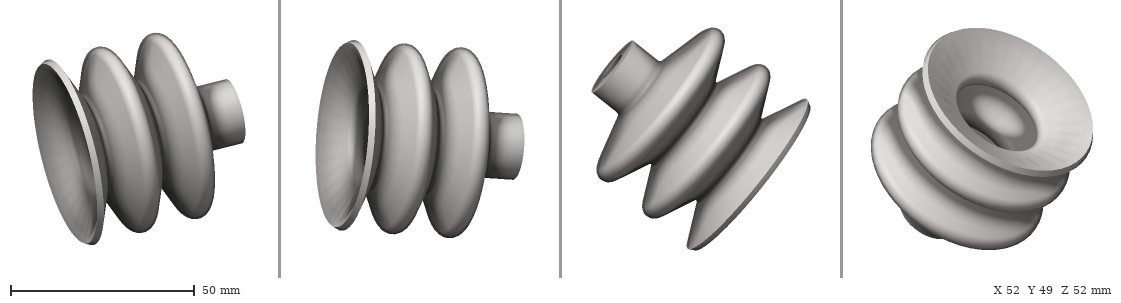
import cadquery as cq
import math


outer_radius = 26.0
length = 49.0

half_pitch = 8.0
fold_count = 2
groove_floor_radius = 14.25
bulge_round = 2.6
groove_round = 0.9
wall = 1.8

neck_radius = 9.0
neck_fillet = 1.6
shoulder_angle = math.radians(17.0)

bore_radius = 4.0
cavity_floor_radius = 7.5

bulge_center_r = outer_radius - bulge_round
groove_center_r = groove_floor_radius + groove_round

center_rise = bulge_center_r - groove_center_r
center_distance = math.hypot(center_rise, half_pitch)
flank_angle = math.atan2(half_pitch, center_rise) - math.asin((bulge_round + groove_round) / center_distance)

flank_cos = math.cos(flank_angle)
flank_sin = math.sin(flank_angle)
lip_offset = half_pitch * flank_cos + groove_center_r * flank_sin - groove_round
lip_rim = ((lip_offset - outer_radius * flank_sin) / flank_cos, outer_radius)
lip_inner_edge = (0, (lip_offset - wall) / flank_sin)

last_bulge_y = 2 * fold_count * half_pitch
shoulder_cos = math.cos(shoulder_angle)
shoulder_sin = math.sin(shoulder_angle)
shoulder_offset = last_bulge_y * shoulder_cos + bulge_center_r * shoulder_sin + bulge_round


def round_point(center, radius, tilt, side):
    """Point on a rounding whose normal leans by tilt from the axis; side is +1 for +Y, -1 for -Y."""
    return (center[0] + side * radius * math.cos(tilt), center[1] + radius * math.sin(tilt))


def add_folds(outline, inset):
    """Run from the lip over every groove and bulge of the skin lying inset below the outside."""
    groove_radius = groove_round + inset
    bulge_radius = bulge_round - inset
    for fold in range(fold_count):
        groove = ((2 * fold + 1) * half_pitch, groove_center_r)
        bulge = ((2 * fold + 2) * half_pitch, bulge_center_r)
        is_last = fold == fold_count - 1
        leaving_angle = shoulder_angle if is_last else flank_angle
        outline = (
            outline.lineTo(*round_point(groove, groove_radius, -flank_angle, -1))
            .threePointArc(
                (groove[0], groove[1] - groove_radius),
                round_point(groove, groove_radius, -flank_angle, 1),
            )
            .lineTo(*round_point(bulge, bulge_radius, flank_angle, -1))
            .threePointArc(
                (bulge[0], bulge[1] + bulge_radius),
                round_point(bulge, bulge_radius, leaving_angle, 1),
            )
        )
    return outline


def revolve_about_y(outline):
    return outline.close().revolve(360, (0, 0, 0), (1, 0, 0))


def make_body():
    """Solid outer form: lip, bellows, shoulder and neck."""
    fillet_r = neck_radius + neck_fillet
    fillet_y = (shoulder_offset + neck_fillet - fillet_r * shoulder_sin) / shoulder_cos
    fillet_center = (fillet_y, fillet_r)
    middle_angle = -(shoulder_angle + math.pi / 2) / 2

    outline = cq.Workplane("YZ").moveTo(0, 0).lineTo(*lip_inner_edge).lineTo(*lip_rim)
    outline = (
        add_folds(outline, 0)
        .lineTo(*round_point(fillet_center, neck_fillet, -shoulder_angle, -1))
        .threePointArc(
            round_point(fillet_center, neck_fillet, middle_angle, -1),
            (fillet_y, neck_radius),
        )
        .lineTo(length, neck_radius)
        .lineTo(length, 0)
    )
    return revolve_about_y(outline)


def make_cavity():
    """Space inside the bellows, one wall below the outside, ending on a flat floor under the neck."""
    floor_y = (shoulder_offset - wall - cavity_floor_radius * shoulder_sin) / shoulder_cos
    outline = cq.Workplane("YZ").moveTo(0, 0).lineTo(*lip_inner_edge)
    outline = add_folds(outline, wall).lineTo(floor_y, cavity_floor_radius).lineTo(floor_y, 0)
    return revolve_about_y(outline)


def make_bore():
    """Through hole along the neck."""
    return cq.Workplane("XZ").circle(bore_radius).extrude(-length)


result = make_body().cut(make_cavity()).cut(make_bore())